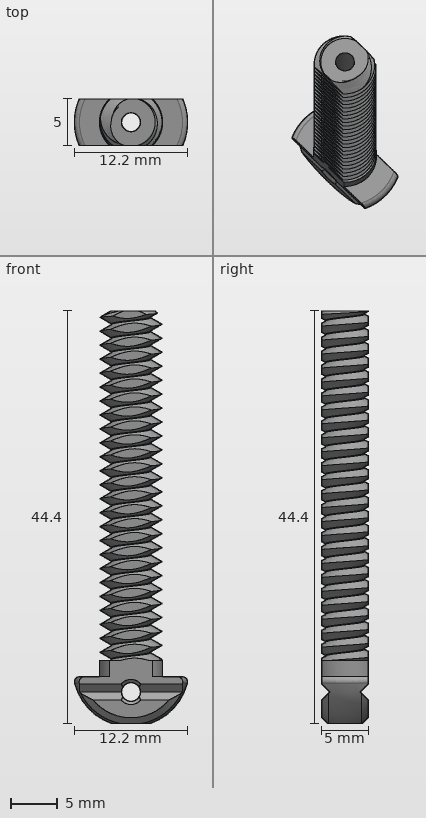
import cadquery as cq
import math

total_length = 44.35
flat_width = 5.0
bore_diameter = 2.0

head_diameter = 12.2
head_height = 5.05
head_rim_fillet = 0.56
ball_center_z = 5.93
ball_radius = head_rim_fillet + math.hypot(
    head_diameter / 2 - head_rim_fillet,
    ball_center_z - (head_height - head_rim_fillet),
)
bevel_face_radius = 5.3

groove_z = 3.4
groove_depth = 0.85
cross_hole_diameter = 2.0
cross_hole_chamfer = 0.35

collar_diameter = 6.8
collar_top_z = 6.8
shank_base_z = 4.05

thread_pitch = 1.5
thread_crest_radius = 3.33
thread_root_radius = 2.12
ridge_embed = 0.06
turn_gap = 0.02
thread_start_z = 5.41
tip_radius = 2.6


def cylinder(radius, bottom_z, top_z):
    """Round bar along the bolt axis."""
    return cq.Workplane("XY", origin=(0, 0, bottom_z)).circle(radius).extrude(top_z - bottom_z)


def make_slab():
    """Block between the two flat sides of the bolt."""
    return cq.Workplane("XY").box(
        head_diameter, flat_width, total_length, centered=(True, True, False)
    )


def make_edge_bevel():
    """Cutter that bevels the ball's edges along both flat sides, below the grooves."""
    half = flat_width / 2
    kept = (
        cq.Workplane("XY")
        .polyline([
            (0, -half),
            (bevel_face_radius, -half),
            (bevel_face_radius + half, 0),
            (bevel_face_radius, half),
            (0, half),
        ])
        .close()
        .revolve(360, (0, 0, 0), (0, 1, 0))
        .translate((0, 0, ball_center_z))
    )
    lower_block = cq.Workplane("XY").box(
        head_diameter, flat_width, groove_z, centered=(True, True, False)
    )
    return lower_block.cut(kept)


def make_head():
    """Ball with a flat bottom and a flat, rounded-over top, sliced by the two flat sides."""
    ball = cq.Workplane("XY", origin=(0, 0, ball_center_z)).sphere(ball_radius)
    head = ball.intersect(cylinder(head_diameter, 0, head_height))
    head = head.faces(">Z").edges().fillet(head_rim_fillet)
    return head.intersect(make_slab()).cut(make_edge_bevel())


def make_collar():
    collar = cylinder(collar_diameter / 2, shank_base_z, collar_top_z)
    return collar.intersect(make_slab())


def make_thread():
    """Round core with one sharp helical ridge, clipped by the flat sides and the tip chamfer."""
    half_base = (thread_pitch - turn_gap) / 2
    inner_radius = thread_root_radius - ridge_embed
    helix_height = total_length - thread_start_z + thread_pitch
    helix = cq.Wire.makeHelix(thread_pitch, helix_height, thread_root_radius)
    ridge = (
        cq.Workplane("XZ")
        .polyline([
            (inner_radius, -half_base),
            (thread_crest_radius, 0),
            (inner_radius, half_base),
        ])
        .close()
        .sweep(cq.Workplane(helix), isFrenet=True)
        .translate((0, 0, thread_start_z))
    )
    core = cylinder(thread_root_radius, shank_base_z, total_length)
    tip_chamfer = collar_diameter / 2 - tip_radius
    envelope = cylinder(collar_diameter / 2, shank_base_z, total_length)
    envelope = envelope.faces(">Z").edges().chamfer(tip_chamfer).intersect(make_slab())
    return core.union(ridge.intersect(envelope))


def make_groove(side):
    """V-groove cutter along X on the side facing +Y (side = 1) or -Y (side = -1)."""
    face_y = side * flat_width / 2
    return (
        cq.Workplane("YZ", origin=(-head_diameter / 2, 0, 0))
        .polyline([
            (face_y, groove_z - groove_depth),
            (face_y - side * groove_depth, groove_z),
            (face_y, groove_z + groove_depth),
        ])
        .close()
        .extrude(head_diameter)
    )


def make_cross_hole():
    """Cutter along Y, flared where it leaves the flat sides."""
    hole_radius = cross_hole_diameter / 2
    half = flat_width / 2
    profile = [
        (0, -half),
        (hole_radius + cross_hole_chamfer, -half),
        (hole_radius, -half + cross_hole_chamfer),
        (hole_radius, half - cross_hole_chamfer),
        (hole_radius + cross_hole_chamfer, half),
        (0, half),
    ]
    cutter = cq.Workplane("XY").polyline(profile).close().revolve(360, (0, 0, 0), (0, 1, 0))
    return cutter.translate((0, 0, groove_z))


result = make_head().union(make_collar()).union(make_thread())
for side in (-1, 1):
    result = result.cut(make_groove(side))
result = result.cut(make_cross_hole())
result = result.cut(cylinder(bore_diameter / 2, 0, total_length)).solids()